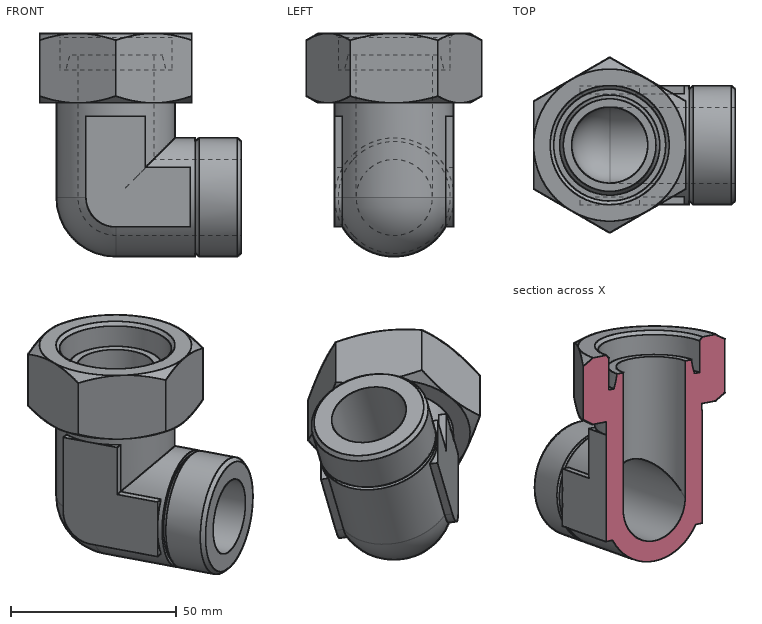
import cadquery as cq
import math

body_diameter = 36.0
bore_diameter = 23.0
thread_root_diameter = 33.84

thread_start = 24.0
leg_end = 38.0
thread_chamfer_length = 1.25

nut_across_flats = 46.0
nut_bottom = 28.5
nut_height = 21.0
nut_chamfer_angle = 30.0
hexagon_turn = 30.0

nipple_tip_diameter = 28.0
nipple_base_diameter = 30.3
nipple_tip_z = 43.0
nipple_base_z = 38.5

pad_half_width = 9.0
pad_top = 24.5
pad_end = 22.5

body_radius = body_diameter / 2
bore_radius = bore_diameter / 2
thread_root_radius = thread_root_diameter / 2
nut_top = nut_bottom + nut_height
nut_corner_radius = nut_across_flats / math.sqrt(3)
nut_mouth_depth = body_radius - thread_root_radius
nipple_tip_radius = nipple_tip_diameter / 2
nipple_base_radius = nipple_base_diameter / 2


def round_elbow(radius, x_end, z_end):
    """Two cylinders from the origin along +X and +Z, joined by a sphere at the corner."""
    horizontal = cq.Workplane("YZ").circle(radius).extrude(x_end)
    vertical = cq.Workplane("XY").circle(radius).extrude(z_end)
    return horizontal.union(vertical).union(cq.Workplane("XY").sphere(radius))


def revolve_about_z(points):
    """Solid of revolution about Z from (radius, z) points."""
    return cq.Workplane("XZ").polyline(points).close().revolve(360, (0, 0), (0, 1))


def threaded_end():
    """Thread-sized cylinder along X, chamfered down to the root diameter at both ends."""
    profile = [
        (thread_start, 0),
        (thread_start, thread_root_radius),
        (thread_start + thread_chamfer_length, body_radius),
        (leg_end - thread_chamfer_length, body_radius),
        (leg_end, thread_root_radius),
        (leg_end, 0),
    ]
    return cq.Workplane("XY").polyline(profile).close().revolve(360, (0, 0), (1, 0))


def wrench_pads():
    """L-shaped block with a rounded outer corner, flat on both sides of the body."""
    return (
        cq.Workplane("XZ")
        .moveTo(-pad_half_width, pad_top)
        .lineTo(pad_half_width, pad_top)
        .lineTo(pad_half_width, pad_half_width)
        .lineTo(pad_end, pad_half_width)
        .lineTo(pad_end, -pad_half_width)
        .lineTo(0, -pad_half_width)
        .radiusArc((-pad_half_width, 0), pad_half_width)
        .close()
        .extrude(body_radius, both=True)
    )


def hexagon_nut():
    """Hexagon with two corners on the Y axis and conical chamfers on both end faces."""
    hexagon = (
        cq.Workplane("XY", origin=(0, 0, nut_bottom))
        .polygon(6, 2 * nut_corner_radius)
        .extrude(nut_height)
        .rotate((0, 0, 0), (0, 0, 1), hexagon_turn)
    )
    flat_radius = nut_across_flats / 2
    chamfer_drop = (nut_corner_radius - flat_radius) * math.tan(math.radians(nut_chamfer_angle))
    envelope = revolve_about_z([
        (0, nut_bottom),
        (flat_radius, nut_bottom),
        (nut_corner_radius, nut_bottom + chamfer_drop),
        (nut_corner_radius, nut_top - chamfer_drop),
        (flat_radius, nut_top),
        (0, nut_top),
    ])
    return hexagon.intersect(envelope)


def nut_cavity():
    """Nut bore with a chamfered mouth, leaving the conical nipple standing in the middle."""
    cavity = revolve_about_z([
        (0, nipple_base_z),
        (thread_root_radius, nipple_base_z),
        (thread_root_radius, nut_top - nut_mouth_depth),
        (body_radius, nut_top),
        (0, nut_top),
    ])
    nipple = revolve_about_z([
        (0, nipple_base_z),
        (nipple_base_radius, nipple_base_z),
        (nipple_tip_radius, nipple_tip_z),
        (0, nipple_tip_z),
    ])
    return cavity.cut(nipple)


body = round_elbow(body_radius, thread_start, nut_bottom)
body = body.union(threaded_end()).union(wrench_pads()).union(hexagon_nut())
result = body.cut(nut_cavity()).cut(round_elbow(bore_radius, leg_end, nut_top))